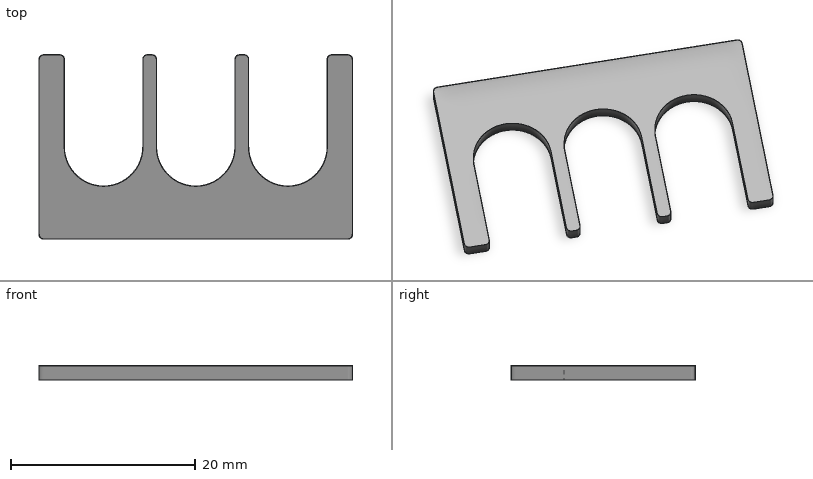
import cadquery as cq

length = 34.0
depth = 20.0
thickness = 1.55
corner_radius = 0.5

slot_count = 3
slot_pitch = 10.0
slot_width = 8.5
slot_straight_depth = 10.0


def make_slot(center_x):
    """Cutter for one slot: a straight channel ending in a half circle."""
    end_y = depth / 2 - slot_straight_depth
    radius = slot_width / 2
    return (
        cq.Workplane("XY")
        .moveTo(center_x - radius, depth / 2)
        .lineTo(center_x - radius, end_y)
        .threePointArc((center_x, end_y - radius), (center_x + radius, end_y))
        .lineTo(center_x + radius, depth / 2)
        .close()
        .extrude(thickness)
    )


plate = cq.Workplane("XY").box(length, depth, thickness, centered=(True, True, False))
for index in range(slot_count):
    plate = plate.cut(make_slot((index - (slot_count - 1) / 2) * slot_pitch))

result = plate.edges("|Z and (<Y or >Y)").fillet(corner_radius)